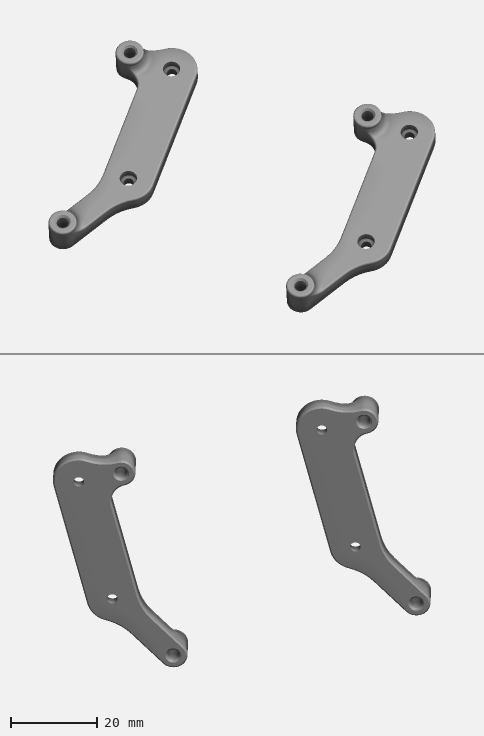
import cadquery as cq
import math

bracket_spacing = 58.0
tilt_angle = 5.0

boss_diameter = 6.6
boss_height = 7.0
boss_hole_diameter = 2.8
boss_pitch = 49.0

plate_thickness = 4.0
lobe_radius = 5.99
plate_hole_x = 10.05
front_hole_y = 17.7
rear_hole_y = 49.25
plate_hole_diameter = 2.4
counterbore_diameter = 4.0
counterbore_depth = 1.85

neck_blend_radius = 11.2
arm_blend_radius = 12.75
boss_flare = 2.0
edge_fillet = 0.5
bottom_chamfer = 0.4
boss_hole_chamfer = 0.5

boss_radius = boss_diameter / 2
boss_hole_radius = boss_hole_diameter / 2
counterbore_floor = plate_thickness - counterbore_depth
plate_left = plate_hole_x - lobe_radius
plate_right = plate_hole_x + lobe_radius
arm_angle = math.atan2(plate_hole_x, front_hole_y)
arm_length = math.hypot(plate_hole_x, front_hole_y)

boss_centers = [(0, 0), (0, boss_pitch)]
plate_hole_centers = [(plate_hole_x, front_hole_y), (plate_hole_x, rear_hole_y)]


def toward(start, end, distance):
    """Point at the given distance from start in the direction of end."""
    span = math.dist(start, end)
    return tuple(s + (e - s) * distance / span for s, e in zip(start, end))


def arm_point(along, across):
    """Point in arm coordinates: along the arm axis, and across it to the right."""
    return (
        along * math.sin(arm_angle) + across * math.cos(arm_angle),
        along * math.cos(arm_angle) - across * math.sin(arm_angle),
    )


def arc_middle(center, radius, start, end):
    """Middle point of the minor arc from start to end."""
    chord_middle = ((start[0] + end[0]) / 2, (start[1] + end[1]) / 2)
    return toward(center, chord_middle, radius)


def outline():
    """Bracket footprint, drawn counterclockwise from the front boss."""
    front_lobe, rear_lobe = plate_hole_centers
    rear_boss = boss_centers[1]

    lobe_reach = lobe_radius + arm_blend_radius
    blend_across = boss_radius + arm_blend_radius
    blend_along = arm_length - math.sqrt(lobe_reach**2 - blend_across**2)
    right_blend = arm_point(blend_along, blend_across)
    right_start = arm_point(blend_along, boss_radius)
    right_end = toward(front_lobe, right_blend, lobe_radius)
    front_lobe_end = (plate_right, front_hole_y)

    boss_reach = boss_radius + neck_blend_radius
    lobe_reach = lobe_radius + neck_blend_radius
    span = math.dist(rear_boss, rear_lobe)
    along = (span**2 + boss_reach**2 - lobe_reach**2) / (2 * span)
    across = math.sqrt(boss_reach**2 - along**2)
    ux = (rear_lobe[0] - rear_boss[0]) / span
    uy = (rear_lobe[1] - rear_boss[1]) / span
    neck_blend = (
        rear_boss[0] + along * ux - across * uy,
        rear_boss[1] + along * uy + across * ux,
    )
    neck_start = toward(rear_lobe, neck_blend, lobe_radius)
    neck_end = toward(rear_boss, neck_blend, boss_radius)
    rear_lobe_start = (plate_right, rear_hole_y)

    inner_radius = plate_left
    inner_start = (0, boss_pitch - boss_radius)
    inner_blend = (0, inner_start[1] - inner_radius)
    inner_end = (plate_left, inner_blend[1])

    left_blend_x = plate_left - arm_blend_radius
    left_across = -boss_radius - arm_blend_radius
    left_along = (left_blend_x - left_across * math.cos(arm_angle)) / math.sin(arm_angle)
    left_blend = arm_point(left_along, left_across)
    left_start = (plate_left, left_blend[1])
    left_end = arm_point(left_along, -boss_radius)

    return (
        cq.Workplane("XY")
        .moveTo(*arm_point(0, boss_radius))
        .lineTo(*right_start)
        .threePointArc(arc_middle(right_blend, arm_blend_radius, right_start, right_end), right_end)
        .threePointArc(arc_middle(front_lobe, lobe_radius, right_end, front_lobe_end), front_lobe_end)
        .lineTo(*rear_lobe_start)
        .threePointArc(arc_middle(rear_lobe, lobe_radius, rear_lobe_start, neck_start), neck_start)
        .threePointArc(arc_middle(neck_blend, neck_blend_radius, neck_start, neck_end), neck_end)
        .threePointArc((-boss_radius, boss_pitch), inner_start)
        .threePointArc(arc_middle(inner_blend, inner_radius, inner_start, inner_end), inner_end)
        .lineTo(*left_start)
        .threePointArc(arc_middle(left_blend, arm_blend_radius, left_start, left_end), left_end)
        .lineTo(*arm_point(0, -boss_radius))
        .threePointArc(arm_point(-boss_radius, 0), arm_point(0, boss_radius))
        .close()
    )


def flare_ring(center):
    """Ring under a boss whose concave top sweeps from the plate up to the boss wall."""
    inner = boss_hole_radius
    outer = boss_radius + boss_flare
    top = plate_thickness + boss_flare
    sag = boss_flare * (1 - math.sqrt(0.5))
    return (
        cq.Workplane("XZ")
        .moveTo(inner, 0)
        .lineTo(outer, 0)
        .lineTo(outer, plate_thickness)
        .threePointArc((boss_radius + sag, plate_thickness + sag), (boss_radius, top))
        .lineTo(inner, top)
        .close()
        .revolve(360, (0, 0, 0), (0, 1, 0))
        .translate((*center, 0))
    )


def solid_blank():
    """Plate, flares and bosses with their outer edges rounded, before the holes."""
    blank = outline().extrude(plate_thickness)
    footprint = outline().extrude(boss_height)
    for center in boss_centers:
        blank = blank.union(flare_ring(center).intersect(footprint))
    bosses = cq.Workplane("XY").pushPoints(boss_centers).circle(boss_radius).extrude(boss_height)
    blank = blank.union(bosses).val()

    top_edges = [
        edge
        for edge in blank.Edges()
        if edge.geomType() == "LINE" and math.isclose(edge.Center().z, plate_thickness)
    ]
    rounded = cq.Workplane(blank.fillet(edge_fillet, top_edges))
    rounded = rounded.faces(">Z").edges().fillet(edge_fillet)
    return rounded.faces("<Z").edges().chamfer(bottom_chamfer)


def boss_hole(center):
    """Through hole of a boss, widened by a chamfer at both ends."""
    mouth_radius = boss_hole_radius + boss_hole_chamfer
    return (
        cq.Workplane("XZ")
        .moveTo(0, 0)
        .lineTo(mouth_radius, 0)
        .lineTo(boss_hole_radius, boss_hole_chamfer)
        .lineTo(boss_hole_radius, boss_height - boss_hole_chamfer)
        .lineTo(mouth_radius, boss_height)
        .lineTo(0, boss_height)
        .close()
        .revolve(360, (0, 0, 0), (0, 1, 0))
        .translate((*center, 0))
    )


def plate_hole(center):
    """Through hole of the plate with a counterbore from the top."""
    drill = cq.Workplane("XY").circle(plate_hole_diameter / 2).extrude(plate_thickness)
    counterbore = (
        cq.Workplane("XY")
        .workplane(offset=counterbore_floor)
        .circle(counterbore_diameter / 2)
        .extrude(counterbore_depth)
    )
    return drill.union(counterbore).translate((*center, 0))


def bracket(x):
    """One finished bracket, tilted about the front boss and placed along X."""
    part = solid_blank()
    for center in boss_centers:
        part = part.cut(boss_hole(center))
    for center in plate_hole_centers:
        part = part.cut(plate_hole(center))
    return part.rotate((0, 0, 0), (1, 0, 0), tilt_angle).translate((x, 0, 0))


brackets = [bracket(x) for x in (0, bracket_spacing)]
result = cq.Compound.makeCompound([item.val() for item in brackets])